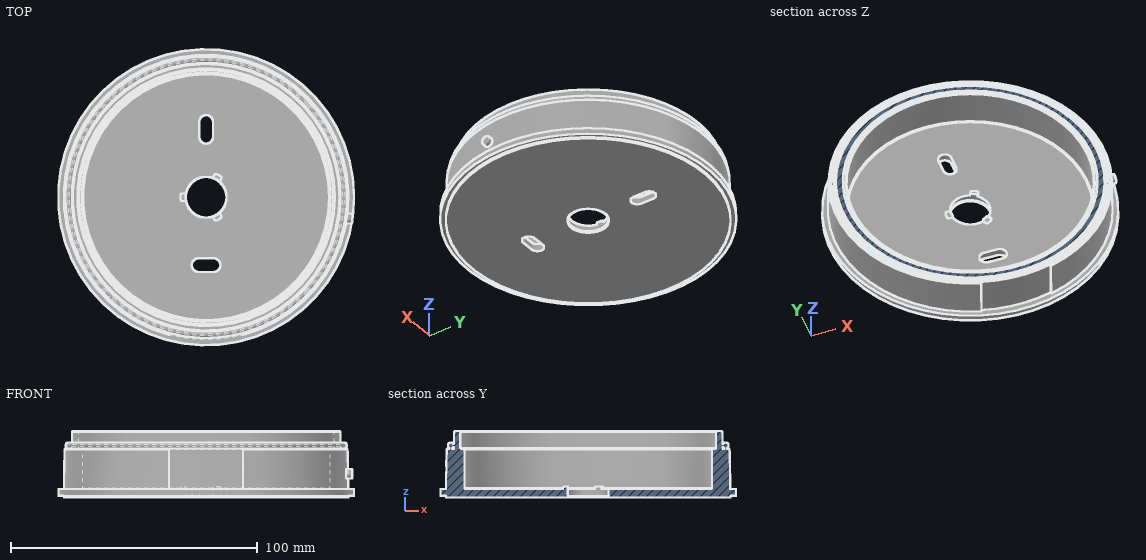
import cadquery as cq

FLANGE_RADIUS = 60.0
FLANGE_BOTTOM = 0.7
FLANGE_TOP = 3.5
FLOOR_TOP = 3.5

BODY_BASE_RADIUS = 57.7
BODY_TOP_RADIUS = 57.4
BODY_TOP = 19.8
BODY_CHAMFER = 0.4

NECK_RADIUS = 54.5
TOTAL_HEIGHT = 27.0
NECK_CHAMFER = 0.5

LOWER_BORE_RADIUS = 50.1
CORNER_CHAMFER = 0.3
LEDGE_CHAMFER = 0.4
LEDGE_HEIGHT = 19.8
MOUTH_RADIUS = 51.8
MOUTH_CHAMFER = 0.4

RING_SECTION_RADIUS = 1.3
RING_SINK = 0.05

RECESS_WIDTH = 30.0
RECESS_RADIUS = BODY_TOP_RADIUS - BODY_CHAMFER

CENTER_HOLE_RADIUS = 8.2
HOLE_RELIEF = 0.15
SLOT_LENGTH = 11.5
SLOT_WIDTH = 5.5
SLOT_OFFSET = 27.5

BOSS_ANGLES = (60, 180, 300)
BOSS_WIDTH = 3.2
BOSS_HEIGHT = 1.0
BOSS_OUTER_RADIUS = 10.3
BOSS_EDGE_FILLET = 0.7

PIN_RADIUS = 2.0
PIN_TIP_X = 59.2
PIN_ROOT_X = 54.0
PIN_Y = -8.6
PIN_Z = 9.65
PIN_TIP_FILLET = 0.5


def make_shell():
    """Revolve the flange, drafted wall, neck and stepped interior."""
    outline = [
        (0, 0),
        (BODY_BASE_RADIUS, 0),
        (BODY_BASE_RADIUS, FLANGE_BOTTOM),
        (FLANGE_RADIUS, FLANGE_BOTTOM),
        (FLANGE_RADIUS, FLANGE_TOP),
        (BODY_BASE_RADIUS, FLANGE_TOP),
        (BODY_TOP_RADIUS, BODY_TOP - BODY_CHAMFER),
        (BODY_TOP_RADIUS - BODY_CHAMFER, BODY_TOP),
        (NECK_RADIUS, BODY_TOP),
        (NECK_RADIUS, TOTAL_HEIGHT - NECK_CHAMFER),
        (NECK_RADIUS - NECK_CHAMFER, TOTAL_HEIGHT),
        (MOUTH_RADIUS + MOUTH_CHAMFER, TOTAL_HEIGHT),
        (MOUTH_RADIUS, TOTAL_HEIGHT - MOUTH_CHAMFER),
        (MOUTH_RADIUS, LEDGE_HEIGHT + CORNER_CHAMFER),
        (MOUTH_RADIUS - CORNER_CHAMFER, LEDGE_HEIGHT),
        (LOWER_BORE_RADIUS + LEDGE_CHAMFER, LEDGE_HEIGHT),
        (LOWER_BORE_RADIUS, LEDGE_HEIGHT - LEDGE_CHAMFER),
        (LOWER_BORE_RADIUS, FLOOR_TOP + CORNER_CHAMFER),
        (LOWER_BORE_RADIUS - CORNER_CHAMFER, FLOOR_TOP),
        (0, FLOOR_TOP),
    ]
    return cq.Workplane("XZ").polyline(outline).close().revolve(360, (0, 0), (0, 1))


def make_recess():
    """Material outside the recess radius, limited to a band on the -Y side."""
    height = BODY_TOP - FLANGE_TOP
    band = (
        cq.Workplane("XY", origin=(0, 0, FLANGE_TOP))
        .center(0, -FLANGE_RADIUS / 2)
        .rect(RECESS_WIDTH, FLANGE_RADIUS)
        .extrude(height)
    )
    core = cq.Workplane("XY", origin=(0, 0, FLANGE_TOP)).circle(RECESS_RADIUS).extrude(height)
    return band.cut(core)


def make_ring():
    """Round sealing ring resting on the shoulder against the neck."""
    center_offset = RING_SECTION_RADIUS - RING_SINK
    return (
        cq.Workplane("XZ")
        .center(NECK_RADIUS + center_offset, BODY_TOP + center_offset)
        .circle(RING_SECTION_RADIUS)
        .revolve(360, (-NECK_RADIUS - center_offset, 0), (-NECK_RADIUS - center_offset, 1))
    )


def make_pin():
    """Round pin along X with a rounded tip."""
    return (
        cq.Workplane("YZ", origin=(PIN_ROOT_X, PIN_Y, PIN_Z))
        .circle(PIN_RADIUS)
        .extrude(PIN_TIP_X - PIN_ROOT_X)
        .faces(">X")
        .edges()
        .fillet(PIN_TIP_FILLET)
    )


def make_boss(angle):
    """Rounded block from inside the centre hole to its outer face, rooted in the floor."""
    root_depth = FLOOR_TOP / 2
    return (
        cq.Workplane("XY", origin=(BOSS_OUTER_RADIUS / 2, 0, FLOOR_TOP - root_depth))
        .rect(BOSS_OUTER_RADIUS, BOSS_WIDTH)
        .extrude(root_depth + BOSS_HEIGHT)
        .edges("(>X and |Z) or (>Z and (not <X))")
        .fillet(BOSS_EDGE_FILLET)
        .rotate((0, 0, 0), (0, 0, 1), angle)
    )


def make_floor_openings():
    """Centre hole and two slots at right angles to each other."""
    depth = FLOOR_TOP + 2 * BOSS_HEIGHT
    base = cq.Workplane("XY")
    hole = base.circle(CENTER_HOLE_RADIUS).extrude(depth)
    relief = base.circle(CENTER_HOLE_RADIUS + HOLE_RELIEF).extrude(FLANGE_BOTTOM)
    radial_slot = base.center(0, SLOT_OFFSET).slot2D(SLOT_LENGTH, SLOT_WIDTH, 90).extrude(depth)
    cross_slot = base.center(0, -SLOT_OFFSET).slot2D(SLOT_LENGTH, SLOT_WIDTH).extrude(depth)
    return hole.union(relief).union(radial_slot).union(cross_slot)


result = make_shell().cut(make_recess()).union(make_ring()).union(make_pin())
for boss_angle in BOSS_ANGLES:
    result = result.union(make_boss(boss_angle))
result = result.cut(make_floor_openings())